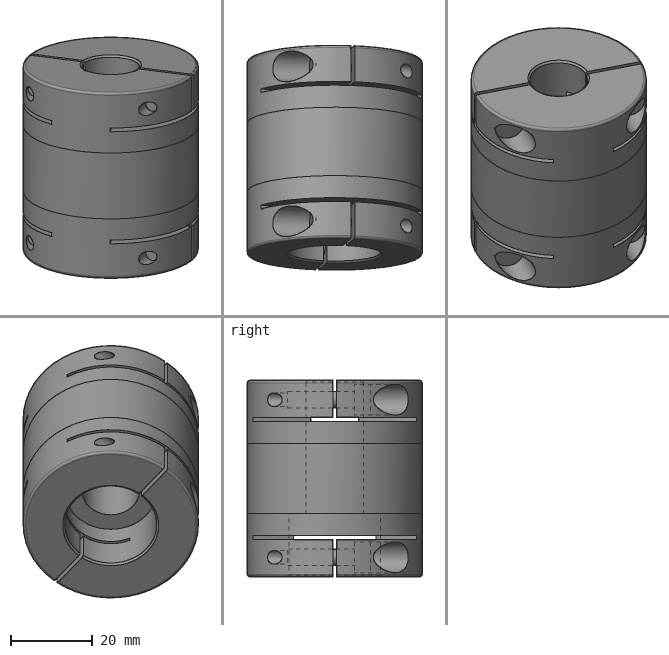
import cadquery as cq
import math

height = 48.0
outer_radius = 21.4
end_fillet = 0.6

upper_bore_radius = 7.0
lower_bore_radius = 11.25
bore_chamfer = 0.5

sleeve_length = 17.0

cut_width = 0.95
jaw_height = 9.05
bridge_half_width = 7.7
bridge_side_angle = 15.0

screw_offset = 15.45
screw_depth = 4.75
screw_diameter = 4.05
head_diameter = 7.55
head_height = 4.0
head_seat_y = 4.8
screw_tip_y = -11.5
tip_hole_diameter = 3.35

half_height = height / 2
half_sleeve = sleeve_length / 2
screw_z = half_height - screw_depth
cut_top = half_height - jaw_height
cut_floor = cut_top - cut_width
screw_sides = (-1, 1)


def y_cylinder(diameter, x, y_start, y_end):
    """Cylinder parallel to Y at the height of the upper hub's screws."""
    plane = cq.Plane(origin=(x, y_start, screw_z), xDir=(1, 0, 0), normal=(0, 1, 0))
    return cq.Workplane(plane).circle(diameter / 2).extrude(y_end - y_start)


def make_screw(side):
    """Clamp screw of the upper hub: a plain shank with a cylindrical head."""
    x = side * screw_offset
    shank = y_cylinder(screw_diameter, x, screw_tip_y, head_seat_y)
    head = y_cylinder(head_diameter, x, head_seat_y, head_seat_y + head_height)
    return shank.union(head)


def screw_hole(side):
    """Stepped hole: head counterbore, shank hole, and a narrower outlet past the screw tip."""
    x = side * screw_offset
    counterbore = y_cylinder(head_diameter, x, head_seat_y, outer_radius)
    shank_hole = y_cylinder(screw_diameter, x, screw_tip_y, head_seat_y)
    outlet = y_cylinder(tip_hole_diameter, x, -outer_radius, screw_tip_y)
    return counterbore.union(shank_hole).union(outlet)


def cross_cut():
    """Flat saw cut under the jaws, leaving one tapered bridge at +Y and one at -Y."""
    bridge_rim_y = math.sqrt(outer_radius**2 - bridge_half_width**2)
    taper = math.tan(math.radians(bridge_side_angle))
    inner_half_width = bridge_half_width - bridge_rim_y * taper
    outer_half_width = bridge_half_width + (outer_radius - bridge_rim_y) * taper
    cut = cq.Workplane("XY", origin=(0, 0, cut_floor)).circle(outer_radius).extrude(cut_width)
    for side in (-1, 1):
        bridge = (
            cq.Workplane("XY", origin=(0, 0, cut_floor))
            .moveTo(-inner_half_width, 0)
            .lineTo(-outer_half_width, side * outer_radius)
            .lineTo(outer_half_width, side * outer_radius)
            .lineTo(inner_half_width, 0)
            .close()
            .extrude(cut_width)
        )
        cut = cut.cut(bridge)
    return cut


def make_hub(bore_radius):
    """Hub in the upper position, with its clamp jaws at the +Z end."""
    hub = (
        cq.Workplane("XY", origin=(0, 0, half_sleeve))
        .circle(outer_radius)
        .extrude(half_height - half_sleeve)
        .faces(">Z")
        .edges()
        .fillet(end_fillet)
    )
    bore = cq.Workplane("XY", origin=(0, 0, half_sleeve)).circle(bore_radius).extrude(half_height)
    hub = hub.cut(bore)
    hub = hub.faces(">Z").edges(cq.selectors.RadiusNthSelector(0)).chamfer(bore_chamfer)

    jaw_split = (
        cq.Workplane("XY", origin=(0, 0, cut_top))
        .rect(2 * outer_radius, cut_width)
        .extrude(jaw_height)
    )
    hub = hub.cut(jaw_split).cut(cross_cut())
    for side in screw_sides:
        hub = hub.cut(screw_hole(side))
    return hub


def make_sleeve():
    """Ring joining the hubs."""
    return (
        cq.Workplane("XY", origin=(0, 0, -half_sleeve))
        .circle(outer_radius)
        .circle(upper_bore_radius)
        .extrude(sleeve_length)
    )


upper_hub = make_hub(upper_bore_radius)
lower_hub = make_hub(lower_bore_radius).mirror("XY")
sleeve = make_sleeve()

screws = []
for side in screw_sides:
    upper_screw = make_screw(side)
    screws.append(upper_screw.val())
    screws.append(upper_screw.mirror("XY").val())

result = cq.Compound.makeCompound([upper_hub.val(), lower_hub.val(), sleeve.val(), *screws])